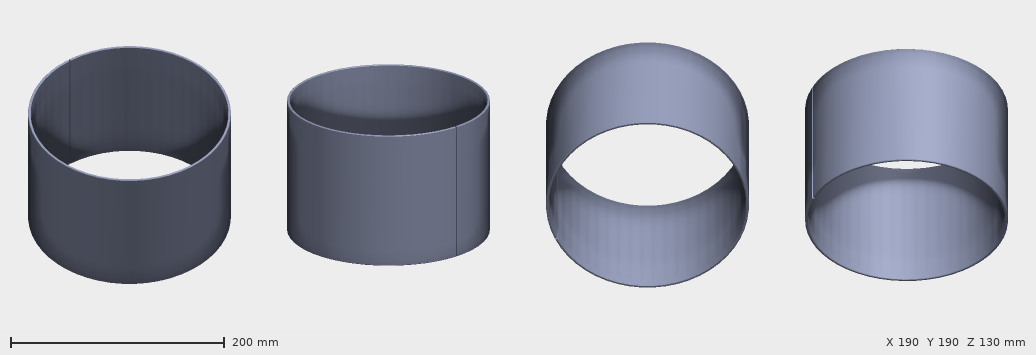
import cadquery as cq

outer_diameter = 190.0
height = 130.0
wall = 2.5
slit_width = 1.5
rim_chamfer = 0.5

outer_radius = outer_diameter / 2
inner_radius = outer_radius - wall

tube = (
    cq.Workplane("XY")
    .circle(outer_radius)
    .circle(inner_radius)
    .extrude(height)
    .faces("<Z or >Z")
    .edges()
    .chamfer(rim_chamfer)
)

slit_depth = 3 * wall
slit = (
    cq.Workplane("XY")
    .box(slit_depth, slit_width, height, centered=(True, False, False))
    .translate((-outer_radius, 0, 0))
)

result = tube.cut(slit)